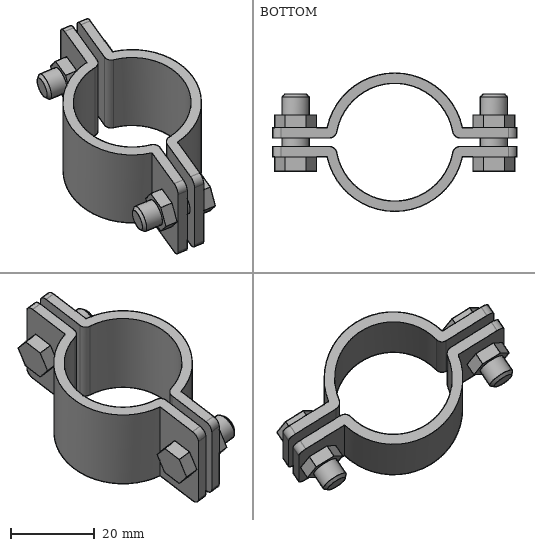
import cadquery as cq
import math


length = 58.25
height = 25.0
ring_outer_radius = 16.515
thickness = 2.5
flange_gap = 2.0
bend_radius = 1.85
corner_radius = 2.0

bolt_spacing = 47.25
shank_diameter = 6.5
hex_corner_diameter = 10.0
head_thickness = 3.45
nut_thickness = 3.0
tip_y = -11.55
tip_chamfer = 0.75

ring_inner_radius = ring_outer_radius - thickness
flange_inner_y = flange_gap / 2
flange_outer_y = flange_inner_y + thickness
outer_corner_x = math.sqrt(ring_outer_radius**2 - flange_outer_y**2)

bend_center_y = flange_inner_y + bend_radius
bend_center_distance = ring_inner_radius + bend_radius
bend_center_x = math.sqrt(bend_center_distance**2 - bend_center_y**2)
bend_angle = math.atan2(bend_center_y, bend_center_x)
bore_start_x = ring_inner_radius * math.cos(bend_angle)
bore_start_y = ring_inner_radius * math.sin(bend_angle)

bend_mid_direction = (math.pi + bend_angle + 3 * math.pi / 2) / 2
bend_mid_x = bend_center_x + bend_radius * math.cos(bend_mid_direction)
bend_mid_y = bend_center_y + bend_radius * math.sin(bend_mid_direction)

bolt_positions = [-bolt_spacing / 2, bolt_spacing / 2]


def cylinder_along_y(x, diameter, start_y, end_y):
    """Round bar at the given X, from start_y down to end_y."""
    plane = cq.Workplane("XZ", origin=(x, start_y, 0))
    return plane.circle(diameter / 2).extrude(start_y - end_y)


def hexagon_along_y(x, start_y, depth):
    """Hexagonal prism with corners on +X and -X, from start_y toward -Y."""
    plane = cq.Workplane("XZ", origin=(x, start_y, 0))
    return plane.polygon(6, hex_corner_diameter).extrude(depth)


def make_back_half():
    """Half ring on the +Y side with a drilled flange at each end."""
    outline = (
        cq.Workplane("XY", origin=(0, 0, -height / 2))
        .moveTo(length / 2, flange_inner_y)
        .lineTo(length / 2, flange_outer_y)
        .lineTo(outer_corner_x, flange_outer_y)
        .threePointArc((0, ring_outer_radius), (-outer_corner_x, flange_outer_y))
        .lineTo(-length / 2, flange_outer_y)
        .lineTo(-length / 2, flange_inner_y)
        .lineTo(-bend_center_x, flange_inner_y)
        .threePointArc((-bend_mid_x, bend_mid_y), (-bore_start_x, bore_start_y))
        .threePointArc((0, ring_inner_radius), (bore_start_x, bore_start_y))
        .threePointArc((bend_mid_x, bend_mid_y), (bend_center_x, flange_inner_y))
        .close()
    )
    half = outline.extrude(height)

    half = half.faces("<X or >X").edges("|Y").fillet(corner_radius)

    for x in bolt_positions:
        half = half.cut(cylinder_along_y(x, shank_diameter, flange_outer_y, flange_inner_y))
    return half


def make_bolt(x):
    """Bolt with its head on the +Y side and its nut on the -Y side."""
    head_top_y = flange_outer_y + head_thickness
    head = hexagon_along_y(x, head_top_y, head_thickness)
    shank = cylinder_along_y(x, shank_diameter, flange_outer_y, tip_y)
    shank = shank.faces("<Y").chamfer(tip_chamfer)
    nut = hexagon_along_y(x, -flange_outer_y, nut_thickness)
    return head.union(shank).union(nut)


back_half = make_back_half()
front_half = back_half.mirror("XZ")
bolts = [make_bolt(x).val() for x in bolt_positions]

result = cq.Compound.makeCompound([back_half.val(), front_half.val(), *bolts])